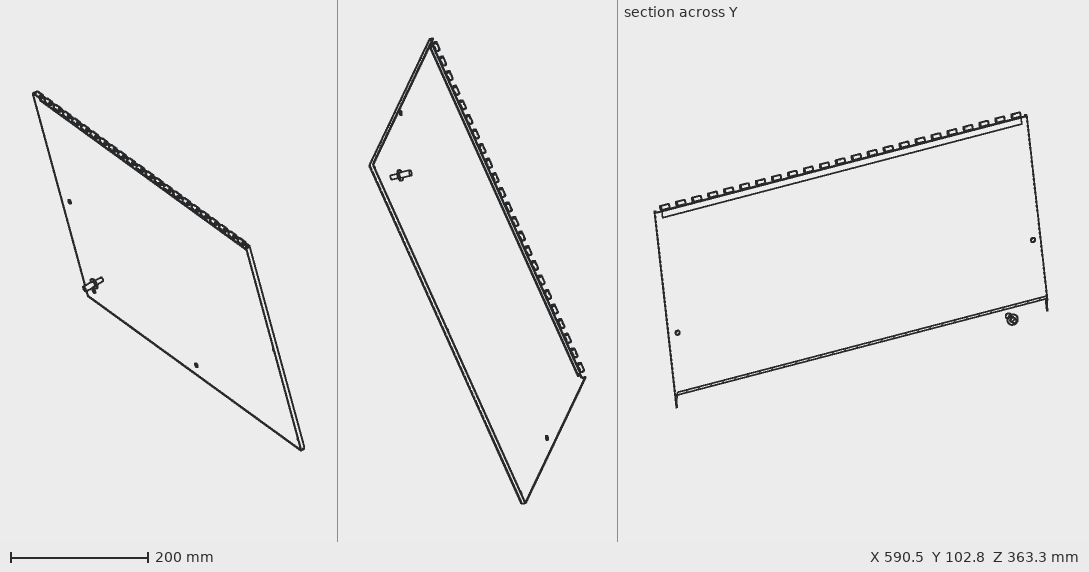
import cadquery as cq

TILT_ANGLE = 14.9

door_width = 590.5
door_height = 368.5
rim_depth = 7.0
sheet = 1.5
bend_radius = 2 * sheet

hole_diameter = 6.5
hole_spacing = 565.0
low_hole_height = 12.0
middle_hole_height = 174.0

leaf_length = 571.0
leaf_bottom = 358.0
leaf_thickness = 1.0
knuckle_count = 23
knuckle_diameter = 6.5
bore_diameter = 3.5
barrel_rise = 3.5
knuckle_length = leaf_length / (2 * knuckle_count - 1)
knuckle_pitch = 2 * knuckle_length
barrel_y = -sheet - knuckle_diameter / 2
barrel_z = door_height + barrel_rise

latch_x = -243.0
latch_z = 52.5
latch_reach = 32.5
stem_diameter = 6.5
rod_diameter = 8.0
collar_diameter = 16.0
collar_thickness = 2.0
collar_distance = 15.0


def tilt(body):
    return body.rotate((0, 0, 0), (1, 0, 0), TILT_ANGLE)


def rod_along_y(diameter, x, z, y_start, y_end):
    """Cylinder that runs towards -Y, from y_start to y_end."""
    return (
        cq.Workplane("XZ", origin=(x, y_start, z))
        .circle(diameter / 2)
        .extrude(y_start - y_end)
    )


def rounded_block(inset, radius):
    """Block set in from the door's outer faces, rounded at its back, side and lower corner edges."""
    width = door_width - 2 * inset
    block = cq.Workplane("XY").box(width, rim_depth, door_height, centered=(True, False, False))
    block = block.translate((0, -rim_depth - inset, inset))
    return block.edges("(>Y and (<X or >X or <Z)) or (<Z and (<X or >X))").fillet(radius)


def make_door():
    """Shallow tray with a bent rim on both sides and along the bottom, open at the top."""
    door = rounded_block(0, bend_radius).cut(rounded_block(sheet, bend_radius - sheet))
    side_x = hole_spacing / 2
    hole_places = [
        (-side_x, low_hole_height),
        (0, low_hole_height),
        (side_x, low_hole_height),
        (-side_x, middle_hole_height),
        (side_x, middle_hole_height),
    ]
    for x, z in hole_places:
        door = door.cut(rod_along_y(hole_diameter, x, z, 0, -sheet))
    return door


def leaf_plate(x_start, length, z_start, z_end):
    """Rectangle of hinge sheet lying in the plane of the inner face of the door."""
    plate = cq.Workplane("XY").box(length, leaf_thickness, z_end - z_start, centered=False)
    return plate.translate((x_start, -sheet - leaf_thickness, z_start))


def make_knuckle(x_start):
    """Bored barrel with a short neck that joins it to the leaf."""
    barrel = (
        cq.Workplane("YZ", origin=(x_start, barrel_y, barrel_z))
        .circle(knuckle_diameter / 2)
        .circle(bore_diameter / 2)
        .extrude(knuckle_length)
    )
    neck = leaf_plate(x_start, knuckle_length, door_height, barrel_z)
    return barrel.union(neck)


def make_hinge():
    """Flat leaf on the inner face of the door, with a row of knuckles along its top."""
    leaf_start = -leaf_length / 2
    hinge = leaf_plate(leaf_start, leaf_length, leaf_bottom, door_height)
    for index in range(knuckle_count):
        hinge = hinge.union(make_knuckle(leaf_start + index * knuckle_pitch))
    return hinge


def make_latch():
    """Stepped pin with a thin collar, standing on the inner face of the door."""
    collar_back = -collar_distance
    collar_front = collar_back - collar_thickness
    stem = rod_along_y(stem_diameter, latch_x, latch_z, -sheet, collar_back)
    collar = rod_along_y(collar_diameter, latch_x, latch_z, collar_back, collar_front)
    rod = rod_along_y(rod_diameter, latch_x, latch_z, collar_front, -latch_reach)
    return stem.union(collar).union(rod)


door = tilt(make_door())
hinge = tilt(make_hinge())
latch = tilt(make_latch())

result = cq.Compound.makeCompound([body.solids().val() for body in (door, hinge, latch)])